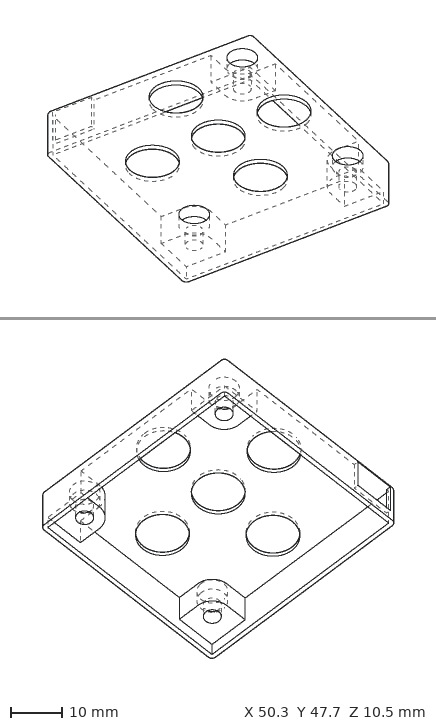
import cadquery as cq

length_x = 50.26
width_y = 47.72
height = 10.5
edge_radius = 1.0

wall = 1.0
roof = 1.0
inner_x = length_x - 2 * wall
inner_y = width_y - 2 * wall
ceiling_z = height - roof

opening_diameter = 10.5
opening_pitch = 15.24

screw_x = 19.05
screw_y = 17.78
screw_corners = [(-1, 1), (1, 1), (1, -1)]
post_radius = 4.0
post_bottom_z = 3.0
screw_hole_diameter = 3.5
screw_head_diameter = 6.0
head_bore_depth = 2.75
head_cone_depth = (screw_head_diameter - screw_hole_diameter) / 2

window_width = 9.0
window_bottom_z = 2.5
window_top_z = ceiling_z


def make_shell():
    """Box with rounded upright and top edges, hollowed from below."""
    outer = cq.Workplane("XY").box(length_x, width_y, height, centered=(True, True, False))
    outer = outer.edges("|Z or >Z").fillet(edge_radius)
    cavity = cq.Workplane("XY").box(inner_x, inner_y, ceiling_z, centered=(True, True, False))
    return outer.cut(cavity)


def make_post(side_x, side_y):
    """Block filling an inner corner, with its free upright edge rounded about the screw axis."""
    size_x = inner_x / 2 - screw_x + post_radius
    size_y = inner_y / 2 - screw_y + post_radius
    center_x = side_x * (inner_x - size_x) / 2
    center_y = side_y * (inner_y - size_y) / 2
    free_edge = ("<X" if side_x > 0 else ">X") + " and " + ("<Y" if side_y > 0 else ">Y")
    post = cq.Workplane("XY", origin=(center_x, center_y, post_bottom_z))
    post = post.box(size_x, size_y, ceiling_z - post_bottom_z, centered=(True, True, False))
    return post.edges("|Z").edges(free_edge).fillet(post_radius)


def make_screw_cut(side_x, side_y):
    """Stepped cutter: head bore, conical seat and through hole, revolved about the screw axis."""
    hole_radius = screw_hole_diameter / 2
    head_radius = screw_head_diameter / 2
    cone_top_z = height - head_bore_depth
    cone_bottom_z = cone_top_z - head_cone_depth
    profile = [
        (0, 0),
        (hole_radius, 0),
        (hole_radius, cone_bottom_z),
        (head_radius, cone_top_z),
        (head_radius, height),
        (0, height),
    ]
    cutter = cq.Workplane("XZ").polyline(profile).close().revolve(360, (0, 0, 0), (0, 1, 0))
    return cutter.translate((side_x * screw_x, side_y * screw_y, 0))


def make_roof_openings():
    """Five round cutters: one at the center and one along each axis direction."""
    centers = [
        (0, 0),
        (opening_pitch, 0),
        (-opening_pitch, 0),
        (0, opening_pitch),
        (0, -opening_pitch),
    ]
    return cq.Workplane("XY").pushPoints(centers).circle(opening_diameter / 2).extrude(height)


def make_window():
    """Rectangular cutter through the thickness of the -X wall."""
    window_origin = (-length_x / 2, -screw_y, window_bottom_z)
    window = cq.Workplane("XY", origin=window_origin)
    return window.box(wall, window_width, window_top_z - window_bottom_z, centered=(False, True, False))


result = make_shell()
for side_x, side_y in screw_corners:
    result = result.union(make_post(side_x, side_y))
for side_x, side_y in screw_corners:
    result = result.cut(make_screw_cut(side_x, side_y))
result = result.cut(make_roof_openings())
result = result.cut(make_window())